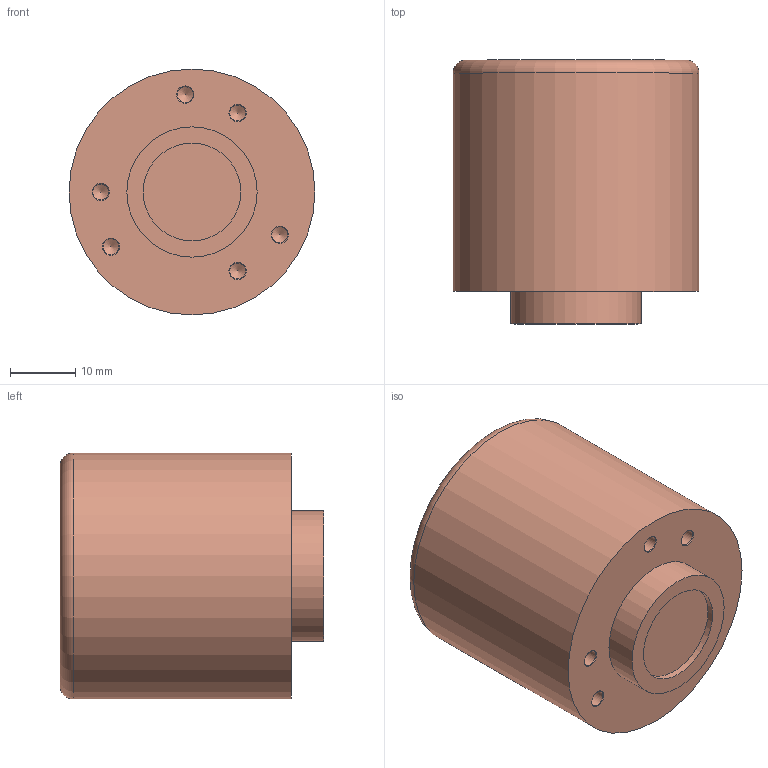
import cadquery as cq
import math

body_diameter = 37.75
body_length = 35.5
rear_edge_radius = 2.0

pilot_diameter = 20.0
pilot_length = 5.0
recess_diameter = 15.0
recess_depth = 1.0

hole_diameter = 2.45
hole_chamfer = 0.1
hole_depth = 5.0
drill_point_angle = 118.0
holes_per_set = 3
inner_pitch_radius = 14.0
inner_start_angle = 60.0
outer_pitch_radius = 15.0
outer_start_angle = 94.0


def cylinder_along_y(diameter, start_y, length):
    """Cylinder on the Y axis, running from start_y toward +Y."""
    return cq.Workplane("XZ", origin=(0, start_y, 0)).circle(diameter / 2).extrude(-length)


def make_housing():
    """Round body with a rounded rear edge and a recessed pilot boss on the mounting face."""
    body = cylinder_along_y(body_diameter, 0, body_length)
    body = body.faces(">Y").edges().fillet(rear_edge_radius)
    pilot = cylinder_along_y(pilot_diameter, -pilot_length, pilot_length)
    recess = cylinder_along_y(recess_diameter, -pilot_length, recess_depth)
    return body.union(pilot).cut(recess)


def make_drilled_hole():
    """Cutter on the Y axis: a chamfered mouth, a straight bore and a conical drill point."""
    radius = hole_diameter / 2
    point_depth = radius / math.tan(math.radians(drill_point_angle / 2))
    half_profile = (
        cq.Workplane("XY")
        .moveTo(0, 0)
        .lineTo(radius + hole_chamfer, 0)
        .lineTo(radius, hole_chamfer)
        .lineTo(radius, hole_depth)
        .lineTo(0, hole_depth + point_depth)
        .close()
    )
    return half_profile.revolve(360, (0, 0, 0), (0, 1, 0))


def cut_hole_set(housing, pitch_radius, start_angle):
    """Drill one evenly spaced set of holes; angles run from +X toward +Z."""
    for index in range(holes_per_set):
        angle = math.radians(start_angle + index * 360 / holes_per_set)
        center = (pitch_radius * math.cos(angle), 0, pitch_radius * math.sin(angle))
        housing = housing.cut(make_drilled_hole().translate(center))
    return housing


result = make_housing()
result = cut_hole_set(result, inner_pitch_radius, inner_start_angle)
result = cut_hole_set(result, outer_pitch_radius, outer_start_angle)